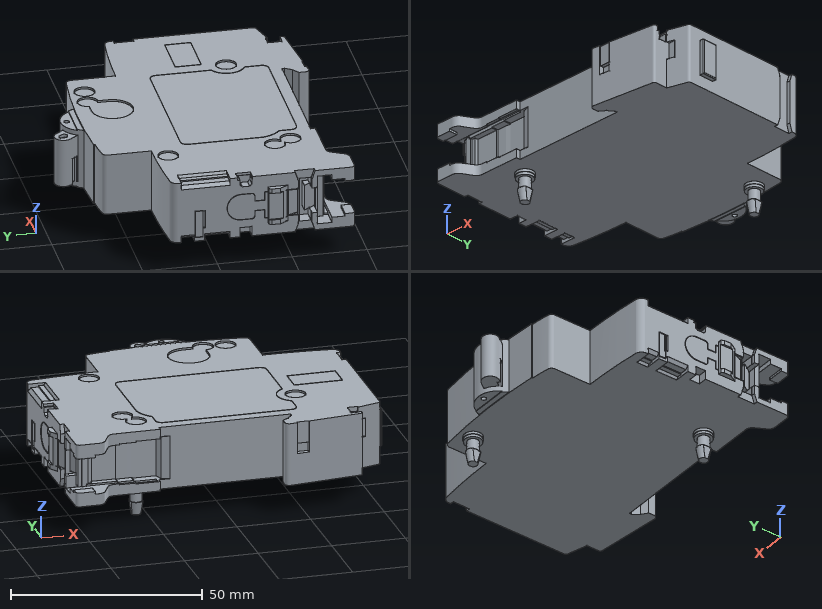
import cadquery as cq
import math

BODY_LENGTH = 85.1
THICKNESS = 17.3
MID_Z = THICKNESS / 2

SHOULDER_Y = 50.25
SHOULDER_DROP = 1.1
TOWER_LEFT = 20.15
TOWER_RIGHT = 64.9
TOWER_TOP = 64.9
TOWER_STEP_X = 27.0
RAIL_Y = 6.8
FOOT_Y = 5.5
HOOK_LEFT = 56.9
HOOK_RIGHT = 78.5

DISC_RADIUS = 2.7
DISC_DEPTH = 0.5
PANEL_DEPTH = 0.1

PIN_PLACES = [(19.9, 13.1), (57.6, 60.1)]
DISC_PLACES = PIN_PLACES + [(16.6, 46.5), (51.7, 60.5), (17.5, 17.8)]
SIDE_DISC = (65.4, 20.6)
DIAL_CENTRE = (46.2, 55.1)
DIAL_RADIUS = 5.5


def block(x0, x1, y0, y1, z0, z1):
    """Box between two corners."""
    return cq.Workplane("XY").box(x1 - x0, y1 - y0, z1 - z0, centered=False).translate((x0, y0, z0))


def plate(outline, z0, z1):
    """Closed XY outline, drawn at Z = 0, raised between two heights."""
    return outline.close().extrude(z1 - z0).translate((0, 0, z0))


def mid_block(x0, x1, y0, y1, half_width):
    """Box centred on the mid plane."""
    return block(x0, x1, y0, y1, MID_Z - half_width, MID_Z + half_width)


def mid_prism(points, half_width):
    """XY polygon raised evenly about the mid plane."""
    return plate(cq.Workplane("XY").polyline(points), MID_Z - half_width, MID_Z + half_width)


def prism_along_x(points, x0, x1):
    """Polygon of (y, z) points swept between two X places."""
    return cq.Workplane("YZ").workplane(offset=x0).polyline(points).close().extrude(x1 - x0)


def prism_along_y(points, y0, y1):
    """Polygon of (x, z) points swept between two Y places."""
    return cq.Workplane("XZ").workplane(offset=-y1).polyline(points).close().extrude(y1 - y0)


def both_faces(cutter):
    """The cutter together with its mirror image about the mid plane."""
    return cutter.union(cutter.translate((0, 0, -MID_Z)).mirror("XY").translate((0, 0, MID_Z)))


def on_top(outline, depth):
    """Closed XY outline as a cutter that sinks into the top face."""
    return plate(outline, THICKNESS - depth, THICKNESS)


def housing():
    """Outline of the housing with the tower, both shoulders and the rail seat."""
    shoulder_end = SHOULDER_Y - SHOULDER_DROP
    outline = (
        cq.Workplane("XY")
        .moveTo(0, 1.1)
        .radiusArc((1.1, 0), -1.1)
        .lineTo(6.2, 0)
        .threePointArc((7.5, 0.4), (8.4, 1.7))
        .lineTo(9.9, 4.4)
        .threePointArc((10.65, 5.2), (11.8, FOOT_Y))
        .lineTo(24.4, FOOT_Y)
        .lineTo(24.4, RAIL_Y)
        .lineTo(60.1, RAIL_Y)
        .lineTo(60.1, 6.1)
        .lineTo(58.8, 4.2)
        .lineTo(HOOK_LEFT, 2.9)
        .lineTo(HOOK_LEFT, 1.2)
        .threePointArc((57.3, 0.35), (58.3, 0))
        .lineTo(77.8, 2.2)
        .threePointArc((78.3, 2.5), (HOOK_RIGHT, 3.0))
        .lineTo(HOOK_RIGHT, RAIL_Y)
        .lineTo(84.4, 8.45)
        .threePointArc((84.9, 8.8), (BODY_LENGTH, 9.3))
        .lineTo(BODY_LENGTH, 47.4)
        .threePointArc((84.7, 48.5), (83.6, shoulder_end))
        .threePointArc((74.4, 50.0), (TOWER_RIGHT, SHOULDER_Y))
        .lineTo(TOWER_RIGHT, 62.4)
        .threePointArc((64.5, 63.3), (63.7, 63.7))
        .threePointArc((44.9, TOWER_TOP), (TOWER_STEP_X, 64.2))
        .lineTo(TOWER_STEP_X, 63.9)
        .threePointArc((24.2, 63.6), (21.4, 63.2))
        .threePointArc((20.5, 62.7), (TOWER_LEFT, 61.95))
        .lineTo(TOWER_LEFT, SHOULDER_Y)
        .threePointArc((11.0, 50.0), (1.7, shoulder_end))
        .threePointArc((0.5, 48.5), (0, 47.4))
    )
    return plate(outline, 0, THICKNESS)


def label_panel():
    """Very shallow label field, stepped clear of the discs beside it."""
    left, right, bottom, top = 22.0, 63.1, 10.0, 41.7
    corner = 1.8
    waist_x, waist_y = 24.8, 15.05
    outline = (
        cq.Workplane("XY")
        .moveTo(left + corner, top)
        .lineTo(right - corner, top)
        .radiusArc((right, top - corner), corner)
        .lineTo(right, bottom + corner)
        .radiusArc((right - corner, bottom), corner)
        .lineTo(waist_x + corner, bottom)
        .radiusArc((waist_x, bottom + corner), corner)
        .lineTo(waist_x, waist_y)
        .threePointArc((23.0, 17.25), (left, 20.0))
        .lineTo(left, top - corner)
        .radiusArc((left + corner, top), corner)
    )
    clearance_radius = 5.0
    clearance = cq.Workplane("XY").center(*SIDE_DISC).circle(clearance_radius).extrude(THICKNESS)
    return on_top(outline, PANEL_DEPTH).cut(clearance)


def top_marks():
    """Label fields, dial and round sockets in the top face."""
    x, y = DIAL_CENTRE
    marks = label_panel()
    marks = marks.union(block(66.9, 80.0, 26.9, 33.9, THICKNESS - PANEL_DEPTH, THICKNESS))
    floor_z = THICKNESS - DISC_DEPTH
    floor = cq.Workplane("XY").workplane(offset=floor_z)
    marks = marks.union(floor.moveTo(x, y).circle(DIAL_RADIUS).extrude(DISC_DEPTH))
    marks = marks.union(block(x, x + DIAL_RADIUS, y, y + DIAL_RADIUS, floor_z, THICKNESS))
    for place in DISC_PLACES + [SIDE_DISC]:
        marks = marks.union(floor.moveTo(*place).circle(DISC_RADIUS).extrude(DISC_DEPTH))
    return marks


GROOVE_DEPTH = 1.1
LEFT_GROOVE_Y = 13.4
RIGHT_GROOVE_Y = 43.9


def end_groove(x0, x1, centre_y):
    """Groove across an end wall, flared at both faces."""
    half_narrow, half_wide = 1.85, 2.6
    flare = 2.4
    half_profile = [
        (half_wide, 0),
        (half_narrow, flare),
        (half_narrow, THICKNESS - flare),
        (half_wide, THICKNESS),
    ]
    right_side = [(centre_y + y, z) for y, z in half_profile]
    left_side = [(centre_y - y, z) for y, z in reversed(half_profile)]
    return prism_along_x(right_side + left_side, x0, x1)


RECESS_LENGTH = 4.8
RECESS_DEPTH = 1.9


def wall_recesses():
    """Stepped recess and small notch along each long edge of the left end wall."""
    lip = THICKNESS - 1.1
    back = THICKNESS - 0.7
    profile = [
        (0, THICKNESS - RECESS_DEPTH),
        (0.9, lip),
        (2.9, lip),
        (2.9, back),
        (4.3, back),
        (RECESS_LENGTH, THICKNESS),
        (0, THICKNESS),
    ]
    recess = prism_along_y(profile, 33.4, 46.5)
    notch_depth = 2.7
    notch = block(0, 2.6, 27.6, 30.8, 0, notch_depth)
    upper_notch = notch.edges("|X and >Z").chamfer(0.6).mirror("XY").translate((0, 0, THICKNESS))
    upper_notch = upper_notch.union(block(0, 2.7, 27.5, 31.4, back, THICKNESS))
    return both_faces(recess).union(notch).union(upper_notch)


def side_rib():
    """Rib that bridges the lower recess of the left end wall."""
    return block(0, RECESS_LENGTH, 40.2, 42.9, 0, RECESS_DEPTH)


def rib_slot():
    """Two-level slot along the rib."""
    shallow, deep = 0.3, 0.5
    slot = block(0, shallow, 40.7, 42.8, 1.1, MID_Z)
    return slot.union(block(0, deep, 40.0, 40.7, 3.7, MID_Z))


TONGUE_HALF = 3.6
TONGUE_TOP = 13.2
TONGUE_BOTTOM = 9.9
POCKET_FLOOR = 4.8
WINDOW_HALF = 6.95


def clip_bay():
    """Opening in the left foot, deeper and wider in steps towards the rail."""
    ceiling = [
        (6.3, 8.2),
        (6.3, 9.2),
        (13.3, 9.2),
        (13.3, 9.7),
        (16.5, 9.7),
        (17.8, 9.9),
        (24.4, 9.9),
        (25.1, 7.6),
        (27.4, RAIL_Y),
    ]
    full_depth = mid_prism([(0, 0), (0, 8.2)] + ceiling + [(27.4, 0)], MID_Z)
    plan = mid_block(0, 13.3, 0, 10.6, 5.5)
    plan = plan.union(mid_block(13.3, 17.8, 0, 10.6, 5.7))
    plan = plan.union(mid_block(17.8, 27.4, 0, 10.6, 6.0))
    lip = block(0, 5.1, 0, 2.7, MID_Z - 5.5, MID_Z - 4.75)
    bay = full_depth.intersect(plan).cut(both_faces(lip))
    side_track = mid_block(0, 23.8, 6.25, 7.5, 6.5)
    window = mid_block(0, POCKET_FLOOR, 6.25, 10.1, WINDOW_HALF)
    return bay.union(side_track).union(window)


def tongue_pocket():
    """Pocket around the tongue of the clip, and the slope under its grip."""
    pocket = mid_block(0, POCKET_FLOOR, 11.6, 14.7, 6.25)
    tongue_way = mid_block(0, POCKET_FLOOR, TONGUE_BOTTOM, TONGUE_TOP, TONGUE_HALF)
    slope = mid_prism([(0, 18.2), (1.3, 15.1), (0, 15.1)], TONGUE_HALF)
    return pocket.union(tongue_way).union(slope)


def clip_tongue():
    """Sloping tongue of the rail clip and the stepped bar below it in the window."""
    back = POCKET_FLOOR + 0.4
    tongue = mid_prism(
        [(2.0, TONGUE_TOP), (4.3, TONGUE_BOTTOM), (back, TONGUE_BOTTOM), (back, TONGUE_TOP)], TONGUE_HALF
    )
    bar_half = WINDOW_HALF - 0.8
    bar = mid_block(2.6, back, 8.0, 9.6, bar_half).union(mid_block(3.7, back, 7.6, 8.0, bar_half))
    return tongue.union(bar)


def clip_handle():
    """Raised grip of the clip on the left end wall, with a rail on each side."""
    reach = 1.4
    outline = [(0.9, 23.3), (-1.0, 23.3), (-reach, 22.5), (-reach, 20.3), (0, 17.95), (0.9, 17.95)]
    grip_half = 3.9
    rails = mid_prism(outline, 5.2).cut(mid_block(-reach, -0.9, 17.95, 23.3, grip_half))
    undercut = [(-reach, 19.1), (-0.9, 19.1), (0, 18.2), (0, 17.95), (-reach, 17.95)]
    return rails.cut(mid_prism(undercut, grip_half))


def clip_keyhole():
    """Shallow keyhole outline beside the grip."""
    depth = 0.2
    radius = 3.7
    round_y = 30.5
    end_y = 26.8
    eye = cq.Workplane("YZ", origin=(0, round_y, MID_Z)).circle(radius).extrude(depth)
    square = mid_block(0, depth, end_y, round_y, radius)
    square = square.edges("|X and <Y").fillet(0.8)
    neck = mid_block(0, depth, 24.2, end_y, 1.4)
    head = mid_block(0, depth, 15.2, 24.2, 3.8)
    return eye.union(square).union(neck).union(head)


def right_button():
    """Chamfered button on the right end wall."""
    button = mid_block(BODY_LENGTH - 0.9, BODY_LENGTH + 1.5, 12.4, 17.2, 5.2)
    return button.faces(">X").chamfer(0.3)


def hook_cuts():
    """Upright notch under the hook, and the latch pocket at its right end."""
    notch_left, notch_right = 60.2, 63.45
    notch = block(notch_left, notch_right, 0, 0.7, MID_Z, THICKNESS)
    notch = notch.union(block(notch_left, notch_right, 0, 1.8, MID_Z, MID_Z + 2.7))
    upper_floor, lower_floor = THICKNESS - 1.3, THICKNESS - 3.7
    pocket = block(75.7, HOOK_RIGHT, 3.4, 7.3, upper_floor, THICKNESS)
    pocket = pocket.union(block(76.2, HOOK_RIGHT, 4.05, 6.3, lower_floor, upper_floor))
    side_window = block(HOOK_RIGHT, 80.7, RAIL_Y, 7.7, MID_Z, MID_Z + 5.1)
    return notch.union(pocket).union(side_window)


LEVER_TIP = (37.05, 70.1)
LEVER_RADIUS = 2.5
LEVER_ANGLE = math.degrees(math.atan2(-4, 3))
LEVER_LENGTH = 3.7
DOME_X = 42.5
DOME_BASE = 66.4


def dome():
    """Pivot dome of the lever, on top of the tower."""
    half_width = 5.5
    outline = (
        cq.Workplane("XY")
        .moveTo(DOME_X - half_width, DOME_BASE)
        .threePointArc((DOME_X, 69.8), (DOME_X + half_width, DOME_BASE))
    )
    body = plate(outline, 0.35, THICKNESS - 0.5)
    foot_y = 64.2
    skirt = cq.Workplane("XY").polyline(
        [(35.6, foot_y), (DOME_X - half_width, DOME_BASE), (DOME_X + half_width, DOME_BASE), (49.2, foot_y)]
    )
    body = body.union(plate(skirt, 0.2, THICKNESS - 0.3))
    hole_y, hole_radius = 68.1, 0.7
    return body.cut(cq.Workplane("XY").center(DOME_X, hole_y).circle(hole_radius).extrude(THICKNESS))


def along_lever(shape):
    """Turn a shape drawn along +X from the origin onto the lever axis."""
    return shape.rotate((0, 0, 0), (0, 0, 1), LEVER_ANGLE).translate((LEVER_TIP[0], LEVER_TIP[1], 0))


def lever():
    """Rounded lever with a blind eye and a slot in its lower side."""
    half_width = 6.8
    low, high = MID_Z - half_width, MID_Z + half_width
    arm = cq.Workplane("XY").circle(LEVER_RADIUS).extrude(high - low).translate((0, 0, low))
    arm = arm.union(block(0, LEVER_LENGTH, -LEVER_RADIUS, LEVER_RADIUS, low, high))
    neck = mid_block(0, LEVER_LENGTH + 3.5, -LEVER_RADIUS + 0.4, LEVER_RADIUS - 0.4, 5.2)
    eye_depth = 0.9
    eye = cq.Workplane("XY").slot2D(2.55, 1.8).extrude(eye_depth).translate((0, 0, high - eye_depth))
    side_slot = block(0.9, 2.8, -LEVER_RADIUS, -LEVER_RADIUS + 0.9, low, MID_Z + 0.7)
    return along_lever(arm.union(neck).cut(eye).cut(side_slot))


def snap_pin():
    """Pin below the bottom face, its barb flattened along X."""
    rim_radius, shaft_radius = 2.55, 1.7
    barb_radius, tip_radius = 2.0, 1.3
    flange_step, flange_end, barb_top, tip = -0.8, -1.6, -4.8, -8.5
    pin = cq.Workplane("XY").circle(DISC_RADIUS).extrude(flange_step)
    pin = pin.union(cq.Workplane("XY").circle(rim_radius).extrude(flange_end))
    pin = pin.union(cq.Workplane("XY").circle(shaft_radius).extrude(barb_top))
    half_section = [(0, barb_top), (barb_radius, barb_top), (tip_radius, tip), (0, tip)]
    barb = cq.Workplane("XZ").polyline(half_section).close().revolve()
    flats = prism_along_y([(-1.6, barb_top), (1.6, barb_top), (1.2, tip), (-1.2, tip)], -2.6, 2.6)
    return pin.union(barb.intersect(flats))


result = housing()
for cutter in (
    top_marks(),
    end_groove(0, GROOVE_DEPTH, LEFT_GROOVE_Y),
    end_groove(BODY_LENGTH - GROOVE_DEPTH, BODY_LENGTH, RIGHT_GROOVE_Y),
    wall_recesses(),
    clip_bay(),
    tongue_pocket(),
    clip_keyhole(),
    hook_cuts(),
):
    result = result.cut(cutter)
result = result.union(side_rib()).cut(rib_slot())
for added in (clip_tongue(), clip_handle(), right_button(), dome(), lever()):
    result = result.union(added)
for pin_x, pin_y in PIN_PLACES:
    result = result.union(snap_pin().translate((pin_x, pin_y, 0)))